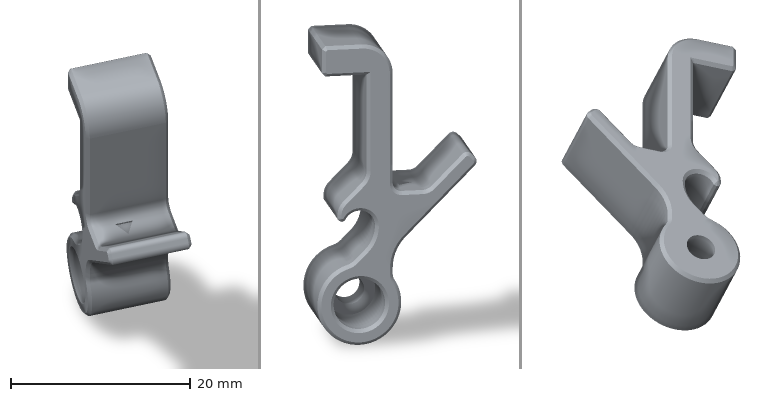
import cadquery as cq
import math

height = 34.75
width = 9.6
edge_chamfer = 0.38

boss_radius = 4.75
bore_radius = 2.92
bore_depth = 6.6
screw_hole_radius = 1.67

bar_left = 0.85
bar_right = 3.8
hook_left = -4.25
hook_thickness = 3.5
hook_top = height - boss_radius
hook_bottom = hook_top - hook_thickness

arm_bottom_offset = 2.25
arm_thickness = 1.98
arm_top_offset = arm_bottom_offset + arm_thickness * math.sqrt(2)
arm_end_sum = 29.45
arm_tip_radius = 0.7
floor_z = 12.82

notch_z = 9.0
notch_radius = 1.77
neck_offset = 5.6
lip_top_offset = 13.72
lip_left = -2.45
lip_low_x = -1.98
lip_low_z = 9.55
lip_end_z = 9.73
lip_inner_x = -1.65

hook_radius = hook_thickness
floor_radius = 1.0
lip_radius = 2.0
neck_arm_radius = 5.0
boss_right_radius = 1.2
boss_left_radius = 2.0
arm_root_radius = 1.5
lip_end_radius = 0.45

mark_base_x = 5.0
mark_tip_x = 6.8
mark_y = -0.8
mark_half_width = 1.0
mark_depth = 0.2


def slope_crossing(offset, end_sum):
    """Point where z = x + offset meets x + z = end_sum."""
    return ((end_sum - offset) / 2, (end_sum + offset) / 2)


def cross_edges(body, x, z_low, z_high):
    """Edges along Y at the given x, between two heights."""
    reach = 0.05
    selector = cq.selectors.BoxSelector(
        (x - reach, -width, z_low - reach), (x + reach, width, z_high + reach)
    )
    return body.edges("|Y").edges(selector)


def round_corner(body, corner, radius):
    """Fillet the edge along Y that passes through the (x, z) corner."""
    x, z = corner
    return cross_edges(body, x, z, z).fillet(radius)


def extrude_across(profile):
    """Extrude an XZ profile over the full width."""
    return profile.extrude(width / 2, both=True)


hook_corner = (bar_right, hook_top)
floor_bar_corner = (bar_right, floor_z)
floor_arm_corner = (floor_z - arm_top_offset, floor_z)
arm_tip_top = slope_crossing(arm_top_offset, arm_end_sum)
arm_tip_bottom = slope_crossing(arm_bottom_offset, arm_end_sum)
neck_arm_corner = (bar_right, bar_right + arm_bottom_offset)
lip_end_corner = (lip_left, lip_end_z)
lip_outer_corner = (lip_left, lip_left + lip_top_offset)
lip_bar_corner = (bar_left, bar_left + lip_top_offset)
neck_boss_right = (bar_right, math.sqrt(boss_radius**2 - bar_right**2))
neck_boss_x = (math.sqrt(2 * boss_radius**2 - neck_offset**2) - neck_offset) / 2
neck_boss_left = (neck_boss_x, neck_boss_x + neck_offset)

neck_tangent = notch_z - (notch_radius + neck_offset)
neck_arc_start_x = notch_radius - neck_tangent / math.sqrt(2)
neck_arc_start = (neck_arc_start_x, neck_arc_start_x + neck_offset)

lip_inner_corner = (lip_inner_x, notch_z + math.sqrt(notch_radius**2 - lip_inner_x**2))

frame = extrude_across(
    cq.Workplane("XZ")
    .moveTo(hook_left, hook_bottom)
    .lineTo(hook_left, hook_top)
    .lineTo(*hook_corner)
    .lineTo(*floor_bar_corner)
    .lineTo(*floor_arm_corner)
    .lineTo(*arm_tip_top)
    .lineTo(*arm_tip_bottom)
    .lineTo(*neck_arm_corner)
    .lineTo(bar_right, 0)
    .lineTo(0, 0)
    .lineTo(-neck_offset / 2, neck_offset / 2)
    .lineTo(*neck_arc_start)
    .tangentArcPoint((notch_radius, notch_z), relative=False)
    .threePointArc((0, notch_z + notch_radius), lip_inner_corner)
    .lineTo(lip_low_x, lip_low_z)
    .lineTo(*lip_end_corner)
    .lineTo(*lip_outer_corner)
    .lineTo(*lip_bar_corner)
    .lineTo(bar_left, hook_bottom)
    .close()
)
boss = extrude_across(cq.Workplane("XZ").circle(boss_radius))
body = frame.union(boss)

rounded_corners = [
    (hook_corner, hook_radius),
    (floor_bar_corner, floor_radius),
    (floor_arm_corner, arm_root_radius),
    (arm_tip_top, arm_tip_radius),
    (arm_tip_bottom, arm_tip_radius),
    (neck_arm_corner, neck_arm_radius),
    (neck_boss_right, boss_right_radius),
    (neck_boss_left, boss_left_radius),
    (lip_end_corner, lip_end_radius),
    (lip_outer_corner, lip_radius),
    (lip_bar_corner, lip_radius),
]
for corner, radius in rounded_corners:
    body = round_corner(body, corner, radius)

body = cross_edges(body, hook_left, hook_bottom, hook_top).chamfer(edge_chamfer)

bore = cq.Workplane("XZ", origin=(0, -width / 2, 0)).circle(bore_radius).extrude(-bore_depth)
body = body.cut(bore)

body = body.faces("<Y or >Y").edges().chamfer(edge_chamfer)

screw_hole = extrude_across(cq.Workplane("XZ").circle(screw_hole_radius))
body = body.cut(screw_hole)

mark = (
    cq.Workplane("XY", origin=(0, 0, floor_z - mark_depth))
    .moveTo(mark_base_x, mark_y - mark_half_width)
    .lineTo(mark_tip_x, mark_y)
    .lineTo(mark_base_x, mark_y + mark_half_width)
    .close()
    .extrude(mark_depth)
)

result = body.cut(mark)